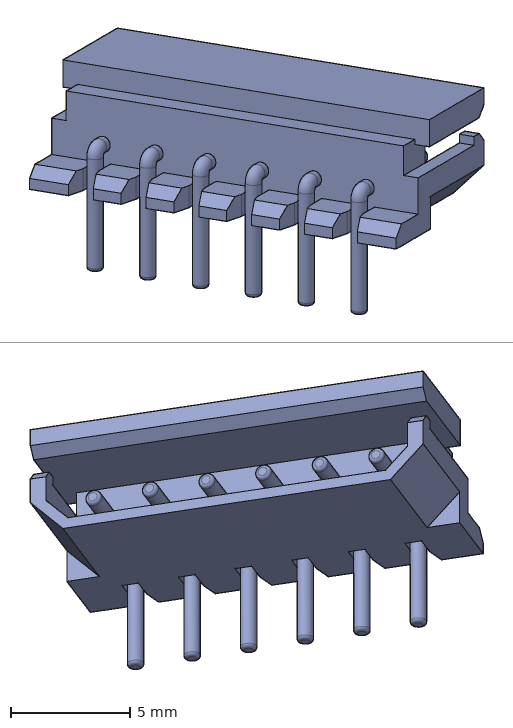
import cadquery as cq


length = 17.4
height = 4.85
wall_front_y = -5.92
cavity_depth = 3.98
side_wall = 0.7
floor_thickness = 0.47

cover_thickness = 1.2
cover_depth = 4.9
cover_mouth_chamfer = 0.45

side_wall_top = 2.58
hook_top = 2.95
hook_depth = 0.9
hook_chamfer = 0.42
back_wall_top = 3.88

corner_bevel = 1.45
bevel_depth = 4.8

foot_length = 1.98
foot_height = 0.97
foot_chamfer = 0.49
slot_width = 0.73
slot_mouth_width = 1.18
slot_taper_length = 0.9

pin_count = 6
pin_pitch = 2.5
pin_radius = 0.35
pin_bend_radius = 0.37
pin_axis_z = 1.8
pin_standoff = 0.7
pin_bottom = -3.55
pin_tip_radius = 0.15
pin_mouth_recess = 1.0

pin_axis_y = wall_front_y - pin_standoff
half_length = length / 2
inner_half_length = half_length - side_wall
foot_tip_y = wall_front_y - foot_length
cover_bottom = height - cover_thickness
pin_positions = [(i - (pin_count - 1) / 2) * pin_pitch for i in range(pin_count)]


def extrude_along_x(points, half_width):
    """Extrude a closed (Y, Z) outline symmetrically about X = 0."""
    return cq.Workplane("YZ").polyline(points).close().extrude(half_width, both=True)


def make_base():
    """Floor block, side walls with hooks, and the foot, before hollowing."""
    outline = [
        (0, 0),
        (0, hook_top - hook_chamfer),
        (-hook_chamfer, hook_top),
        (-hook_depth, hook_top),
        (-hook_depth, side_wall_top),
        (wall_front_y, side_wall_top),
        (wall_front_y, foot_height),
        (foot_tip_y + foot_chamfer, foot_height),
        (foot_tip_y, foot_height - foot_chamfer),
        (foot_tip_y, 0),
    ]
    return extrude_along_x(outline, half_length)


def make_back_wall():
    """Raised back wall between the two side notches."""
    outline = [
        (-cavity_depth, 0),
        (-cavity_depth, back_wall_top),
        (wall_front_y, back_wall_top),
        (wall_front_y, 0),
    ]
    return extrude_along_x(outline, inner_half_length)


def make_cover():
    """Full-length top plate, chamfered under its mouth edge."""
    outline = [
        (0, height),
        (0, cover_bottom + cover_mouth_chamfer),
        (-cover_mouth_chamfer, cover_bottom),
        (-cover_depth, cover_bottom),
        (-cover_depth, height),
    ]
    return extrude_along_x(outline, half_length)


def make_cavity():
    """Mating cavity; its lower corners follow the bevels of the housing."""
    cavity_height = cover_bottom - floor_thickness
    inner_bevel = corner_bevel - floor_thickness
    return (
        cq.Workplane("XY")
        .box(2 * inner_half_length, cavity_depth, cavity_height, centered=(True, False, False))
        .translate((0, -cavity_depth, floor_thickness))
        .edges("|Y and <Z")
        .chamfer(inner_bevel)
    )


def make_corner_bevel(side):
    """Wedge removed from the lower outer corner on one side (-1 or +1)."""
    return (
        cq.Workplane("XZ")
        .polyline([
            (side * half_length, 0),
            (side * half_length, corner_bevel),
            (side * (half_length - corner_bevel), 0),
        ])
        .close()
        .extrude(bevel_depth)
    )


def make_foot_slot(x):
    """Slot through the foot, flared towards its tip."""
    taper_start_y = foot_tip_y + slot_taper_length
    return (
        cq.Workplane("XY")
        .polyline([
            (x - slot_width / 2, wall_front_y),
            (x + slot_width / 2, wall_front_y),
            (x + slot_width / 2, taper_start_y),
            (x + slot_mouth_width / 2, foot_tip_y),
            (x - slot_mouth_width / 2, foot_tip_y),
            (x - slot_width / 2, taper_start_y),
        ])
        .close()
        .extrude(foot_height)
    )


def make_pin(x):
    """Round pin: straight leg through the back wall, elbow, and leg down to the tip."""
    elbow_y = pin_axis_y + pin_bend_radius
    elbow_z = pin_axis_z - pin_bend_radius
    mating_leg = (
        cq.Workplane("XZ", origin=(x, -pin_mouth_recess, pin_axis_z))
        .circle(pin_radius)
        .extrude(-pin_mouth_recess - elbow_y)
        .faces(">Y")
        .fillet(pin_tip_radius)
    )
    elbow = (
        cq.Workplane("XZ", origin=(x, elbow_y, pin_axis_z))
        .circle(pin_radius)
        .revolve(90, (-0.17, -pin_bend_radius), (0.17, -pin_bend_radius))
    )
    board_leg = (
        cq.Workplane("XY", origin=(x, pin_axis_y, pin_bottom))
        .circle(pin_radius)
        .extrude(elbow_z - pin_bottom)
        .faces("<Z")
        .fillet(pin_tip_radius)
    )
    return mating_leg.union(elbow).union(board_leg)


housing = make_base().union(make_back_wall()).union(make_cover()).cut(make_cavity())
for side in (-1, 1):
    housing = housing.cut(make_corner_bevel(side))
for x in pin_positions:
    housing = housing.cut(make_foot_slot(x))

result = housing
for x in pin_positions:
    result = result.union(make_pin(x))